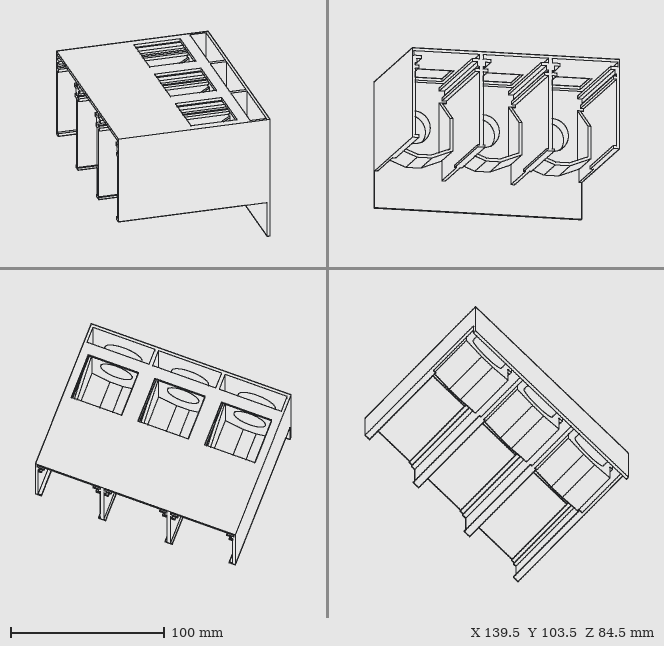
import cadquery as cq

bay_count = 3
bay_pitch = 46.5
width = bay_count * bay_pitch
body_depth = 103.5
rear_height = 84.5
plate = 2.0

side_height = 60.0
divider = 2.5
divider_height = 64.0

foot_height = 1.5
side_foot_height = 2.0
foot_reach = 1.25
foot_length = 62.0

groove_depth = 1.0
ledge_top = 5.0
ledge_bottom = 7.0
ledge_reach = 5.0
web_bottom = 10.0
web_reach = 1.5
side_web_reach = 1.0
lip_top = 11.5
lip_bottom = 13.5
lip_reach = 3.0
side_lip_reach = 2.25

shaft_front = 13.0
window_rear = 20.75
window_front = 52.25
window_width = 35.0

cross_front = shaft_front + plate
cross_band = 15.0
chute_front = 43.5
chute_half = 19.0
chute_wall = 2.0
chute_shoulder = 53.5
chute_bottom = 59.0
chute_floor_half = 5.0
inner_shoulder = 52.25
inner_floor_half = 4.5
slope_end = 31.75

tube_outer = 26.0
tube_inner = 22.0
tube_depth = 32.25

bay_centers = [(i - (bay_count - 1) / 2) * bay_pitch for i in range(bay_count)]
divider_centers = [(i - bay_count / 2) * bay_pitch for i in range(1, bay_count)]


def block(x_min, x_max, y_rear, y_front, z_top, z_bottom):
    """Box from X limits and from distances in front of the rear face and below the top face."""
    size_y = y_front - y_rear
    size_z = z_bottom - z_top
    corner = (x_min, -y_front, -z_bottom)
    return cq.Workplane("XY").box(x_max - x_min, size_y, size_z, centered=False).translate(corner)


def extrude_profile(points, y_rear, y_front):
    """Extrude a closed (X, depth below top) outline forward from y_rear to y_front."""
    outline = [(x, -depth) for x, depth in points]
    return cq.Workplane("XZ", origin=(0, -y_rear, 0)).polyline(outline).close().extrude(y_front - y_rear)


def make_shell():
    """Top plate with full-height rear wall, outer walls and dividers."""
    half = width / 2
    shell = block(-half, half, 0, body_depth, 0, plate)
    shell = shell.union(block(-half, half, 0, plate, 0, rear_height))
    shell = shell.union(block(-half, -half + plate, 0, body_depth, 0, side_height))
    shell = shell.union(block(half - plate, half, 0, body_depth, 0, side_height))
    for x in divider_centers:
        shell = shell.union(block(x - divider / 2, x + divider / 2, 0, body_depth, 0, divider_height))
    return shell


def make_divider_rails(x):
    """Ledge, web and lip on both faces of the divider centred at x."""
    def rail(reach, z_top, z_bottom):
        half = divider / 2 + reach
        return block(x - half, x + half, cross_front, body_depth, z_top, z_bottom)

    rails = rail(ledge_reach, ledge_top, ledge_bottom)
    rails = rails.union(rail(web_reach, ledge_bottom, web_bottom))
    return rails.union(rail(lip_reach, lip_top, lip_bottom))


def make_foot(x_min, x_max, height, bottom):
    """Foot along the front part of a lower wall edge."""
    return block(x_min, x_max, body_depth - foot_length, body_depth, bottom - height, bottom)


def make_divider_details():
    """Rails and feet of all dividers."""
    details = cq.Workplane("XY")
    foot_half = divider / 2 + foot_reach
    for x in divider_centers:
        details = details.union(make_divider_rails(x))
        details = details.union(make_foot(x - foot_half, x + foot_half, foot_height, divider_height))
    return details


def make_left_wall_details():
    """Rails and foot on the inner face of the left outer wall."""
    left = -width / 2
    inner = left + plate

    def rail(end, z_top, z_bottom):
        return block(left, end, cross_front, body_depth, z_top, z_bottom)

    details = rail(left + groove_depth + ledge_reach, ledge_top, ledge_bottom)
    details = details.union(rail(inner + side_web_reach, ledge_bottom, web_bottom))
    details = details.union(rail(inner + side_lip_reach, lip_top, lip_bottom))
    return details.union(make_foot(left, inner + side_lip_reach, side_foot_height, side_height))


def make_left_groove():
    """Relief in the left outer wall between the top plate and the ledge."""
    left = -width / 2
    return block(left + groove_depth, left + plate, cross_front, body_depth, plate, ledge_top)


def chute_outline(half, top, shoulder, bottom, floor_half):
    """Straight sides above a floor with two slanted corners."""
    return [
        (-half, top),
        (-half, shoulder),
        (-floor_half, bottom),
        (floor_half, bottom),
        (half, shoulder),
        (half, top),
    ]


def make_chute():
    """Cross wall and open chute of one bay, centred on X = 0."""
    cross_rear = cross_front - plate
    outer = chute_outline(chute_half, cross_band, chute_shoulder, chute_bottom, chute_floor_half)
    inner_half = chute_half - chute_wall
    inner_bottom = chute_bottom - chute_wall
    inner = chute_outline(inner_half, 0, inner_shoulder, inner_bottom, inner_floor_half)
    chute = extrude_profile(outer, cross_rear, chute_front)
    chute = chute.cut(extrude_profile(inner, cross_front, chute_front))
    rim = (
        cq.Workplane("YZ")
        .polyline([(-cross_front, -cross_band), (-chute_front, -cross_band), (-chute_front, -slope_end)])
        .close()
        .extrude(chute_half, both=True)
    )
    band = block(-bay_pitch / 2, bay_pitch / 2, cross_rear, cross_front, 0, cross_band)
    return chute.cut(rim).union(band)


def make_tube(diameter, y_front):
    """Cylinder from the rear wall forward to y_front, centred on X = 0."""
    start = cq.Workplane("XZ", origin=(0, -plate, -tube_depth))
    return start.circle(diameter / 2).extrude(y_front - plate)


def make_plate_openings(x):
    """Rear shaft opening and front window of the bay centred at x."""
    left = max(x - (bay_pitch - divider) / 2, -width / 2 + plate)
    right = min(x + (bay_pitch - divider) / 2, width / 2 - plate)
    shaft = block(left, right, plate, shaft_front, 0, plate)
    window_half = window_width / 2
    return shaft.union(block(x - window_half, x + window_half, window_rear, window_front, 0, plate))


body = make_shell()
left_details = make_left_wall_details()
left_groove = make_left_groove()
body = body.cut(left_groove).cut(left_groove.mirror("YZ"))
body = body.union(left_details).union(left_details.mirror("YZ"))
body = body.union(make_divider_details())
for center in bay_centers:
    chute_and_tube = make_chute().union(make_tube(tube_outer, cross_front - plate))
    chute_and_tube = chute_and_tube.cut(make_tube(tube_inner, cross_front))
    body = body.union(chute_and_tube.translate((center, 0, 0)))
    body = body.cut(make_plate_openings(center))

result = body